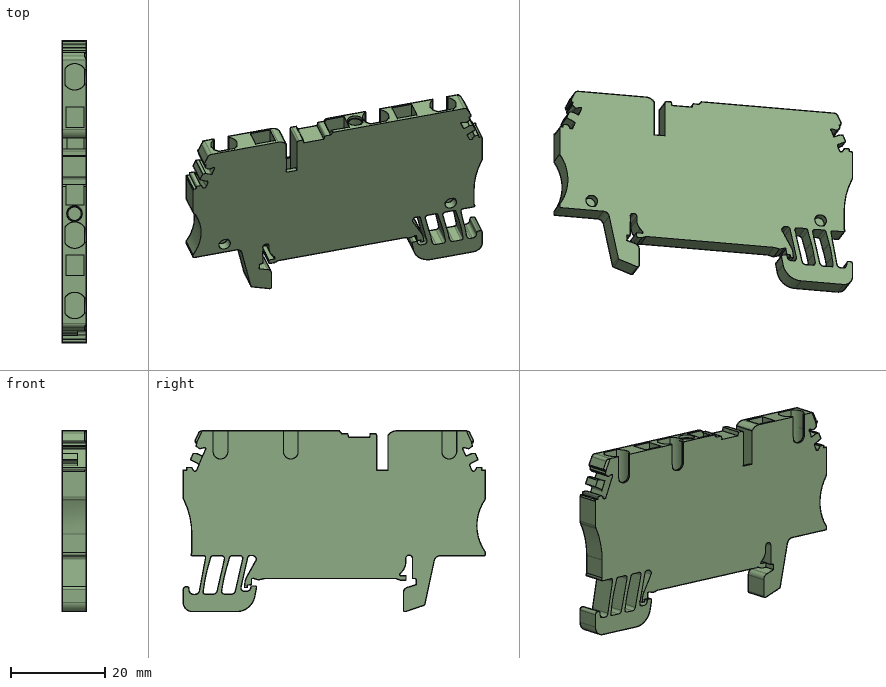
import cadquery as cq
import math

WIDTH = 5.1
LENGTH = 64.05
HEIGHT = 38.35
HALF_LENGTH = LENGTH / 2

WING_BOTTOM = 11.85
RAIL_SEAT = 7.0
LEDGE_TOP = 30.02
OUTSIDE = 2.0

SLOPE_RUN = 0.42
SLOPE_ROOT = 2.88
TAB_WIDTH = 3.25

WIRE_ENTRY_Y = (24.35, -9.2, -24.1)
WIRE_ENTRY_X = (0.6, 4.7)
WIRE_ENTRY_LENGTH = 5.6
WIRE_ENTRY_ROUND = 4.9
WIRE_ENTRY_DEPTH = 10.0
WIRE_NOTCH_WIDTH = 3.1
WIRE_NOTCH_DEPTH = 6.0
DRIVER_POCKET_Y = (15.75, -0.65, -15.6)
DRIVER_POCKET_LENGTH = 4.35
DRIVER_POCKET_X = (0.8, 4.65)
DRIVER_POCKET_DEPTH = 10.0
TEST_HOLE_X = 2.6
TEST_HOLE_Y = -4.65
TEST_HOLE_DIAMETER = 2.85
TEST_HOLE_DEPTH = 8.0
TEST_RIM_DIAMETER = 3.3
TEST_RIM_DEPTH = 0.6

SLOT_START = 20.68
SLOT_END = 23.02
SLOT_POCKET_X = (0.97, 4.65)
SLOT_POCKET_DEPTH = 8.0

PIN_HOLE_DIAMETER = 2.5
PIN_HOLE_Z = 13.95
PIN_HOLE_INSET = 7.0
PIN_HOLE_DEPTH = 2.0

SCALLOP_RADIUS = 9.65
SCALLOP_DEPTH = 1.79
SCALLOP_Z = 18.24

NOSE_TIP = 2.49
NOSE_TIP_Z = 36.2
NOSE_TOP = 3.5
BACK_STRIP = 0.37
NOSE_CHAMFER_DEPTH = 0.5
LEDGE_BEVEL_RUN = 0.15
LEDGE_BEVEL_DROP = 0.35

END_CORNERS = [
    (NOSE_TOP, HEIGHT, 0.9),
    (NOSE_TIP, NOSE_TIP_Z, 0.0),
    (2.6, 35.85, 0.0),
    (2.8, 35.0, 0.0),
    (1.52, 32.21, 0.0),
    (1.7, 30.6, 0.0),
    (0.75, 30.6, 0.15),
    (0.75, LEDGE_TOP, 0.0),
    (0.0, LEDGE_TOP, 0.0),
]


def rounded_profile(corners):
    """Closed YZ wire from (y, z, radius) corners; each corner is rounded by its radius."""
    trimmed = []
    for index, (y, z, radius) in enumerate(corners):
        here = cq.Vector(y, z)
        before = cq.Vector(*corners[index - 1][:2])
        after = cq.Vector(*corners[(index + 1) % len(corners)][:2])
        to_before = (before - here).normalized()
        to_after = (after - here).normalized()
        half_angle = to_before.getAngle(to_after) / 2
        reach = radius / math.tan(half_angle)
        bisector = (to_before + to_after).normalized()
        mid = here + bisector * (radius / math.sin(half_angle) - radius)
        trimmed.append((radius, here + to_before * reach, mid, here + to_after * reach))

    sketch = cq.Workplane("YZ").moveTo(*trimmed[0][3].toTuple()[:2])
    for radius, start, mid, end in trimmed[1:] + trimmed[:1]:
        sketch = sketch.lineTo(start.x, start.y)
        if radius > 0:
            sketch = sketch.threePointArc((mid.x, mid.y), (end.x, end.y))
    return sketch.close()


def from_plus_end(corners):
    """Corners given by their distance from the +Y end."""
    return [(HALF_LENGTH - d, z, r) for d, z, r in corners]


def from_minus_end(corners):
    """Corners given by their distance from the -Y end."""
    return [(d - HALF_LENGTH, z, r) for d, z, r in corners]


def slope_inset(z):
    """Distance of the groove bottoms from the end at height z."""
    return SLOPE_ROOT + (z - LEDGE_TOP) * SLOPE_RUN


def box(x_range, y_range, z_range):
    sizes = [high - low for low, high in (x_range, y_range, z_range)]
    origin = (x_range[0], y_range[0], z_range[0])
    return cq.Workplane("XY").box(*sizes, centered=False).translate(origin)


def make_body():
    plus_side = from_plus_end([
        (30.95, HEIGHT, 0.0),
        (30.45, 37.75, 0.0),
        (29.15, 37.75, 0.2),
        (28.95, 36.97, 0.0),
        (24.55, 36.97, 0.0),
        (24.4, 37.75, 0.0),
        (SLOT_END, 37.75, 0.4),
        (SLOT_END, LEDGE_TOP, 0.0),
        (SLOT_START, LEDGE_TOP, 0.0),
        (SLOT_START, 37.35, 0.0),
        (19.9, HEIGHT, 2.2),
        *END_CORNERS,
        (0.0, WING_BOTTOM, 0.25),
        (10.6, WING_BOTTOM, 1.3),
        (12.85, 1.4, 0.4),
        (17.4, -0.15, 0.4),
        (17.4, 4.9, 1.2),
        (14.69, 5.75, 0.0),
        (14.69, 7.0, 0.25),
        (15.46, 7.0, 0.0),
        (15.46, 11.95, 0.65),
        (16.85, 11.95, 0.65),
        (16.85, 9.4, 3.0),
        (18.3, 7.8, 0.2),
        (18.0, 7.65, 0.0),
        (16.8, 7.65, 0.0),
        (16.8, 6.65, 0.25),
        (18.0, 6.65, 0.0),
        (18.9, RAIL_SEAT, 0.0),
    ])
    minus_side = from_minus_end([
        (17.2, RAIL_SEAT, 0.0),
        (16.0, 6.72, 0.0),
        (14.9, 7.05, 0.0),
        (14.55, 7.0, 0.0),
        (14.5, 5.75, 0.3),
        (13.62, 5.6, 0.0),
        (13.62, 5.1, 0.0),
        (12.96, 5.1, 0.0),
        (13.15, 6.8, 3.0),
        (15.65, 11.3, 0.6),
        (14.9, 11.9, 0.4),
        (13.8, 11.9, 0.6),
        (12.1, 4.35, 0.7),
        (14.35, 4.35, 0.9),
        (14.35, 5.5, 0.0),
        (15.65, 5.5, 0.35),
        (14.6, 0.0, 4.0),
        (0.0, 0.0, 2.0),
        (0.0, 5.3, 0.6),
        (1.2, 5.3, 0.4),
        (1.4, 3.7, 0.9),
        (3.3, 3.7, 0.9),
        (4.72, 11.3, 1.0),
        (4.7, WING_BOTTOM, 0.3),
        (1.55, WING_BOTTOM, 0.25),
        (1.83, 12.5, 0.0),
        (1.83, 20.22, 16.6),
        (0.0, 24.03, 1.0),
        *reversed(END_CORNERS),
    ])
    return rounded_profile(plus_side + minus_side).extrude(WIDTH)


def cut_latch_grooves(body):
    upper_groove = [
        (slope_inset(34.85), 34.85, 0.2),
        (slope_inset(33.0), 33.0, 0.1),
        (2.85, 33.55, 0.0),
        (2.1, 33.55, 0.25),
        (0.5, 31.5, 0.0),
        (0.5, 36.0, 0.0),
        (2.45, 35.8, 0.0),
        (2.9, 35.8, 0.0),
        (2.73, 35.1, 0.0),
        (3.5, 34.5, 0.3),
    ]
    lower_groove = [
        (slope_inset(31.25), 31.25, 0.3),
        (slope_inset(29.8), 29.8, 0.3),
        (2.3, 29.8, 0.3),
        (1.8, 30.6, 0.2),
        (1.2, 30.65, 0.0),
        (1.2, 32.35, 0.0),
    ]
    for groove in (upper_groove, lower_groove):
        for place in (from_plus_end, from_minus_end):
            body = body.cut(rounded_profile(place(groove)).extrude(WIDTH))
    return body


def shorten_minus_tab(body):
    tab_top = 34.3
    tab_bottom = 30.7
    region = from_minus_end([
        (slope_inset(tab_top), tab_top, 0.0),
        (slope_inset(tab_bottom), tab_bottom, 0.0),
        (-OUTSIDE, tab_bottom, 0.0),
        (-OUTSIDE, tab_top, 0.0),
    ])
    cutter = rounded_profile(region).extrude(WIDTH - TAB_WIDTH)
    return body.cut(cutter.translate((TAB_WIDTH, 0, 0)))


def chamfer_noses(body):
    slope_length = math.hypot(NOSE_TOP - NOSE_TIP, HEIGHT - NOSE_TIP_Z)
    for end in (1, -1):
        slope = cq.Plane(
            origin=(WIDTH, end * (HALF_LENGTH - NOSE_TIP), NOSE_TIP_Z),
            xDir=(1, 0, 0),
            normal=(0, end * (NOSE_TIP - NOSE_TOP), HEIGHT - NOSE_TIP_Z),
        )
        wedge = (
            cq.Workplane(slope)
            .polyline([(-BACK_STRIP, 0), (0, 0), (0, -end * NOSE_CHAMFER_DEPTH)])
            .close()
            .extrude(slope_length)
        )
        body = body.cut(wedge)
    return body


def bevel_ledges(body):
    bevel = [
        (0.0, LEDGE_TOP, 0.0),
        (LEDGE_BEVEL_RUN, LEDGE_TOP, 0.0),
        (0.0, LEDGE_TOP - LEDGE_BEVEL_DROP, 0.0),
    ]
    for place in (from_plus_end, from_minus_end):
        body = body.cut(rounded_profile(place(bevel)).extrude(WIDTH - BACK_STRIP))
    return body


def cut_plus_scallop(body):
    centre_y = HALF_LENGTH - SCALLOP_DEPTH + SCALLOP_RADIUS
    scallop = cq.Workplane("YZ").center(centre_y, SCALLOP_Z).circle(SCALLOP_RADIUS).extrude(WIDTH)
    return body.cut(scallop)


def cut_spring_windows(body):
    outer_window = [
        (8.9, WING_BOTTOM, 0.6),
        (5.95, WING_BOTTOM, 0.5),
        (4.75, 7.5, 25.0),
        (4.2, 3.75, 0.4),
        (7.05, 3.75, 0.8),
    ]
    inner_window = [
        (12.75, WING_BOTTOM, 0.5),
        (9.95, WING_BOTTOM, 0.6),
        (8.75, 7.6, 25.0),
        (8.05, 3.75, 0.6),
        (10.9, 3.75, 0.8),
    ]
    for window in (outer_window, inner_window):
        body = body.cut(rounded_profile(from_minus_end(window)).extrude(WIDTH))
    return body


def cut_wire_entries(body):
    near_x, back_x = WIRE_ENTRY_X
    middle_x = (near_x + back_x) / 2
    half_length = WIRE_ENTRY_LENGTH / 2
    notch_radius = WIRE_NOTCH_WIDTH / 2
    floor_z = HEIGHT - WIRE_ENTRY_DEPTH
    notch_centre_z = HEIGHT - WIRE_NOTCH_DEPTH + notch_radius
    for y in WIRE_ENTRY_Y:
        slot = (
            cq.Workplane("XY", origin=(middle_x, y, floor_z))
            .slot2D(WIRE_ENTRY_LENGTH, WIRE_ENTRY_ROUND, 90)
            .extrude(WIRE_ENTRY_DEPTH)
        )
        entry = slot.intersect(box(WIRE_ENTRY_X, (y - half_length, y + half_length), (floor_z, HEIGHT)))
        notch = box(
            (middle_x, WIDTH),
            (y - notch_radius, y + notch_radius),
            (notch_centre_z, HEIGHT),
        )
        notch_floor = (
            cq.Workplane("YZ", origin=(middle_x, y, notch_centre_z))
            .circle(notch_radius)
            .extrude(WIDTH - middle_x)
        )
        body = body.cut(entry).cut(notch).cut(notch_floor)
    return body


def cut_driver_pockets(body):
    half = DRIVER_POCKET_LENGTH / 2
    for y in DRIVER_POCKET_Y:
        body = body.cut(box(DRIVER_POCKET_X, (y - half, y + half), (HEIGHT - DRIVER_POCKET_DEPTH, HEIGHT)))
    return body


def cut_test_hole(body):
    top = cq.Workplane("XY", origin=(TEST_HOLE_X, TEST_HOLE_Y, HEIGHT))
    rim = top.circle(TEST_RIM_DIAMETER / 2).extrude(-TEST_RIM_DEPTH)
    bore = top.circle(TEST_HOLE_DIAMETER / 2).extrude(-TEST_HOLE_DEPTH)
    return body.cut(rim).cut(bore)


def cut_slot_pocket(body):
    y_range = (HALF_LENGTH - SLOT_END, HALF_LENGTH - SLOT_START)
    return body.cut(box(SLOT_POCKET_X, y_range, (LEDGE_TOP - SLOT_POCKET_DEPTH, LEDGE_TOP)))


def cut_pin_holes(body):
    pin_y = HALF_LENGTH - PIN_HOLE_INSET
    holes = (
        cq.Workplane("YZ")
        .pushPoints([(-pin_y, PIN_HOLE_Z), (pin_y, PIN_HOLE_Z)])
        .circle(PIN_HOLE_DIAMETER / 2)
        .extrude(PIN_HOLE_DEPTH)
    )
    return body.cut(holes)


body = make_body()
body = cut_latch_grooves(body)
body = shorten_minus_tab(body)
body = chamfer_noses(body)
body = bevel_ledges(body)
body = cut_plus_scallop(body)
body = cut_spring_windows(body)
body = cut_wire_entries(body)
body = cut_driver_pockets(body)
body = cut_test_hole(body)
body = cut_slot_pocket(body)
result = cut_pin_holes(body)